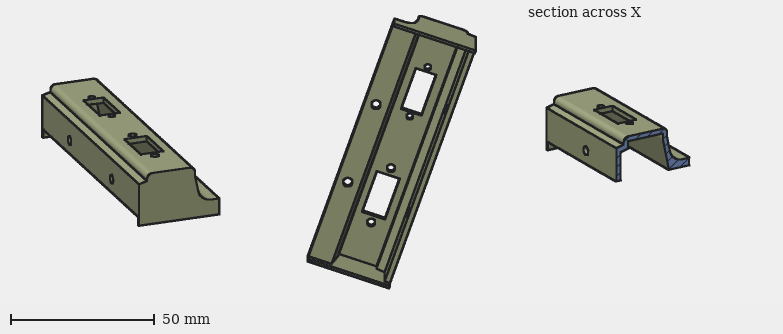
import cadquery as cq
import math

length = 92.0
depth = 30.0
height = 19.0

wall = 2.0
end_wall = 1.0
skirt_height = 3.0

shoulder_slope = math.radians(14.5)
shoulder_width = 3.0
shoulder_front_z = 15.5
lip_radius = 2.0

lip_rear_y = 21.0
rear_lean = math.radians(12)
ledge_z = 6.0
ledge_width = 3.0
cove_radius = 5.0

connector_y = 12.0
connector_length = 15.7
connectors = [
    (26.0, 7.5, 19.0, 2.3),
    (66.0, 8.4, 21.0, 2.8),
]

ledge_screw_xs = (31.0, 61.0)
ledge_screw_y = 26.0
ledge_screw_diameter = 3.2
ledge_recess_diameter = 6.2
ledge_recess_depth = 1.0

front_screw_xs = (26.0, 66.0)
front_screw_z = 8.0
front_screw_diameter = 3.1

shoulder_rear_z = shoulder_front_z + shoulder_width * math.tan(shoulder_slope)
cove_y = depth - ledge_width
cove_z = ledge_z + cove_radius
cove_face_y = cove_y - cove_radius * math.cos(rear_lean)
cove_face_z = cove_z - cove_radius * math.sin(rear_lean)


def leaning_face_z(y, offset=0.0):
    """Height where the leaning rear face, moved inward by an offset, reaches a given Y."""
    face_y = cove_face_y - offset / math.cos(rear_lean)
    return cove_face_z + (face_y - y) / math.tan(rear_lean)


def arc_point(center_y, center_z, radius, angle):
    """Point at an angle (measured from +Y towards +Z) on a circle in the YZ plane."""
    return center_y + radius * math.cos(angle), center_z + radius * math.sin(angle)


def make_outer_body():
    """Solid bar with the full outer cross-section."""
    lip_center_z = height - lip_radius
    front_center = (shoulder_width + lip_radius, lip_center_z)
    rear_center = (lip_rear_y - lip_radius, lip_center_z)
    cove_middle_angle = (math.pi + rear_lean + 1.5 * math.pi) / 2
    return (
        cq.Workplane("YZ")
        .moveTo(0, 0)
        .lineTo(0, shoulder_front_z)
        .lineTo(shoulder_width, shoulder_rear_z)
        .lineTo(shoulder_width, lip_center_z)
        .threePointArc(arc_point(*front_center, lip_radius, 0.75 * math.pi), (front_center[0], height))
        .lineTo(rear_center[0], height)
        .threePointArc(arc_point(*rear_center, lip_radius, 0.25 * math.pi), (lip_rear_y, lip_center_z))
        .lineTo(lip_rear_y, leaning_face_z(lip_rear_y))
        .lineTo(cove_face_y, cove_face_z)
        .threePointArc(arc_point(cove_y, cove_z, cove_radius, cove_middle_angle), (cove_y, ledge_z))
        .lineTo(depth, ledge_z)
        .lineTo(depth, 0)
        .close()
        .extrude(length)
    )


def make_cavity():
    """Space under the top, between the end walls, one wall inside the outer faces."""
    roof_z = height - wall
    step_y = shoulder_width + wall
    rear_y = lip_rear_y - wall
    floor_y = cove_face_y - wall / math.cos(rear_lean) + cove_face_z * math.tan(rear_lean)
    return (
        cq.Workplane("YZ", origin=(end_wall, 0, 0))
        .moveTo(wall, 0)
        .lineTo(wall, shoulder_front_z - wall)
        .lineTo(step_y, shoulder_rear_z - wall)
        .lineTo(step_y, roof_z)
        .lineTo(rear_y, roof_z)
        .lineTo(rear_y, leaning_face_z(rear_y, wall))
        .lineTo(floor_y, 0)
        .close()
        .extrude(length - 2 * end_wall)
    )


def make_bottom_relief():
    """Clearance that leaves only the end walls reaching down to the bottom."""
    return cq.Workplane("XY").box(
        length - 2 * end_wall, depth, skirt_height, centered=False
    ).translate((end_wall, 0, 0))


def cut_connector(body, center_x, width, screw_spacing, screw_diameter):
    """Rectangular opening with a screw hole at each end, through the top."""
    top = cq.Workplane("XY", origin=(center_x, connector_y, height))
    opening = top.rect(connector_length, width).extrude(-height)
    screws = (
        top.pushPoints([(-screw_spacing / 2, 0), (screw_spacing / 2, 0)])
        .circle(screw_diameter / 2)
        .extrude(-height)
    )
    return body.cut(opening).cut(screws)


def cut_ledge_screw(body, x):
    """Recessed screw hole through the ledge; the recess also bites into the cove."""
    floor = cq.Workplane("XY", origin=(x, ledge_screw_y, ledge_z - ledge_recess_depth))
    recess = floor.circle(ledge_recess_diameter / 2).extrude(height)
    hole = floor.circle(ledge_screw_diameter / 2).extrude(-ledge_z)
    return body.cut(recess).cut(hole)


def cut_front_screw(body, x):
    """Screw hole through the front wall only."""
    hole = (
        cq.Workplane("XZ", origin=(x, 0, front_screw_z))
        .circle(front_screw_diameter / 2)
        .extrude(-2 * wall)
    )
    return body.cut(hole)


result = make_outer_body().cut(make_cavity()).cut(make_bottom_relief())
for connector in connectors:
    result = cut_connector(result, *connector)
for screw_x in ledge_screw_xs:
    result = cut_ledge_screw(result, screw_x)
for screw_x in front_screw_xs:
    result = cut_front_screw(result, screw_x)